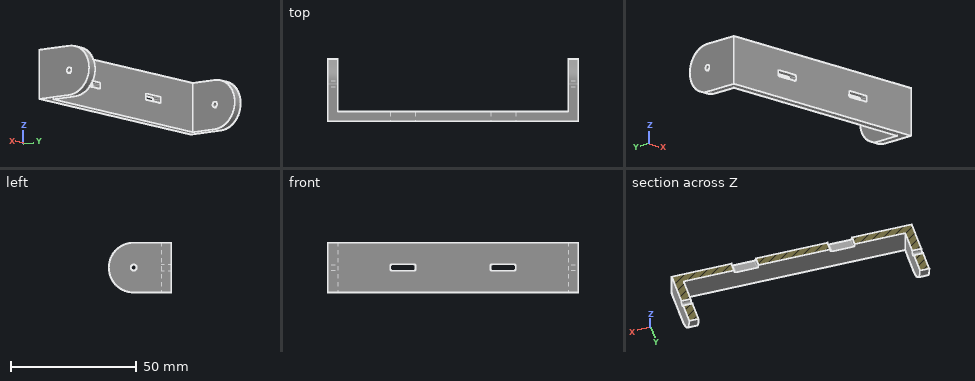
import cadquery as cq

length = 100.0
depth = 25.0
height = 20.0
thickness = 4.0

ear_radius = height / 2
pivot_y = depth - ear_radius
pivot_diameter = 2.3

slot_length = 10.0
slot_height = 2.5
slot_corner_radius = 0.6
slot_spacing = 40.0


def make_ear(x_start):
    """End plate in the YZ plane: square at the wall, semicircular at the free end."""
    return (
        cq.Workplane("YZ", origin=(x_start, 0, 0))
        .moveTo(0, -height / 2)
        .lineTo(pivot_y, -height / 2)
        .threePointArc((depth, 0), (pivot_y, height / 2))
        .lineTo(0, height / 2)
        .close()
        .extrude(thickness)
    )


def make_slot(x_center):
    """Rounded-corner cutter passing through the long wall."""
    return (
        cq.Workplane("XY")
        .box(slot_length, thickness, slot_height)
        .edges("|Y")
        .fillet(slot_corner_radius)
        .translate((x_center, thickness / 2, 0))
    )


wall = cq.Workplane("XY").box(length, thickness, height).translate((0, thickness / 2, 0))
bracket = wall
for x_start in (-length / 2, length / 2 - thickness):
    bracket = bracket.union(make_ear(x_start))

pivot = (
    cq.Workplane("YZ", origin=(-length / 2, 0, 0))
    .center(pivot_y, 0)
    .circle(pivot_diameter / 2)
    .extrude(length)
)
bracket = bracket.cut(pivot)

for side in (-1, 1):
    bracket = bracket.cut(make_slot(side * slot_spacing / 2))

result = bracket